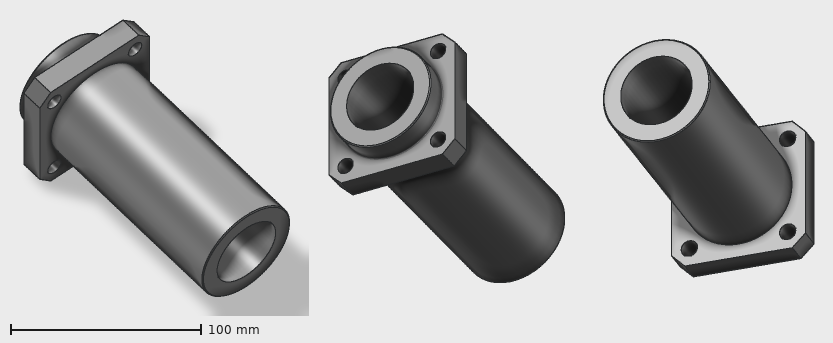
import cadquery as cq

length = 151.0
sleeve_diameter = 60.0
bore_diameter = 40.0
end_chamfer = 0.6

flange_offset = 13.0
flange_thickness = 13.1
flange_side = 75.0
corner_chamfer = 7.4
hole_diameter = 9.0
hole_spacing = 55.1

root_fillet = 0.5


def make_sleeve():
    """Round sleeve with both outer end edges chamfered."""
    sleeve = cq.Workplane("YZ").circle(sleeve_diameter / 2).extrude(length)
    return sleeve.faces("<X or >X").chamfer(end_chamfer)


def make_flange():
    """Square plate with cut corners and four mounting holes."""
    plate = (
        cq.Workplane("YZ", origin=(flange_offset, 0, 0))
        .rect(flange_side, flange_side)
        .extrude(flange_thickness)
        .edges("|X")
        .chamfer(corner_chamfer)
    )
    holes = (
        cq.Workplane("YZ", origin=(flange_offset, 0, 0))
        .rect(hole_spacing, hole_spacing, forConstruction=True)
        .vertices()
        .circle(hole_diameter / 2)
        .extrude(flange_thickness)
    )
    return plate.cut(holes)


def fillet_flange_root(body):
    """Round the inside corner between the sleeve and the -X flange face."""
    flange_face = body.faces(cq.selectors.BoxSelector(
        (flange_offset - root_fillet, -flange_side, -flange_side),
        (flange_offset + root_fillet, flange_side, flange_side),
    ))
    root_edge = flange_face.edges("%CIRCLE").edges(cq.selectors.RadiusNthSelector(-1))
    return root_edge.fillet(root_fillet)


bore = cq.Workplane("YZ").circle(bore_diameter / 2).extrude(length)
body = fillet_flange_root(make_sleeve().union(make_flange()))
result = body.cut(bore)